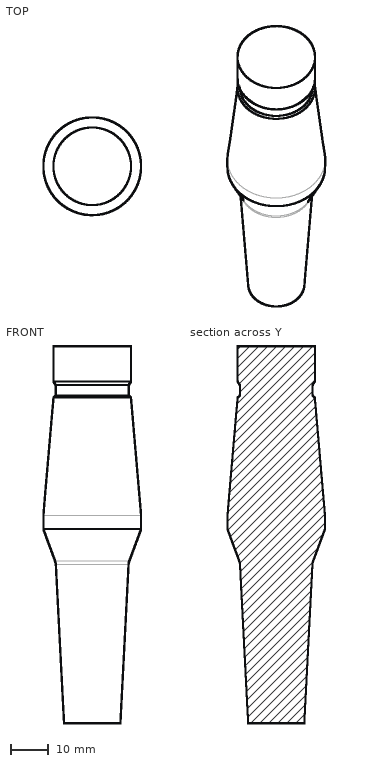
import cadquery as cq

total_height = 100.0
shank_top = 42.6
belt_bottom = 51.5
belt_top = 55.1
shoulder_top = 86.4
groove_bottom = 86.9
groove_top = 89.7
cap_bottom = 90.6

tip_radius = 7.5
shank_radius = 9.7
belt_radius = 13.0
cap_radius = 10.3
groove_radius = 9.7
neck_blend_radius = 3.0

outline = [
    (0, 0),
    (tip_radius, 0),
    (shank_radius, shank_top),
    (belt_radius, belt_bottom),
    (belt_radius, belt_top),
    (cap_radius, shoulder_top),
    (groove_radius, groove_bottom),
    (groove_radius, groove_top),
    (cap_radius, cap_bottom),
    (cap_radius, total_height),
    (0, total_height),
]
body = cq.Workplane("XZ").polyline(outline).close().revolve(360, (0, 0, 0), (0, 1, 0))

neck_edge = cq.selectors.NearestToPointSelector((0, 0, shank_top))
result = body.edges("%CIRCLE").edges(neck_edge).fillet(neck_blend_radius)